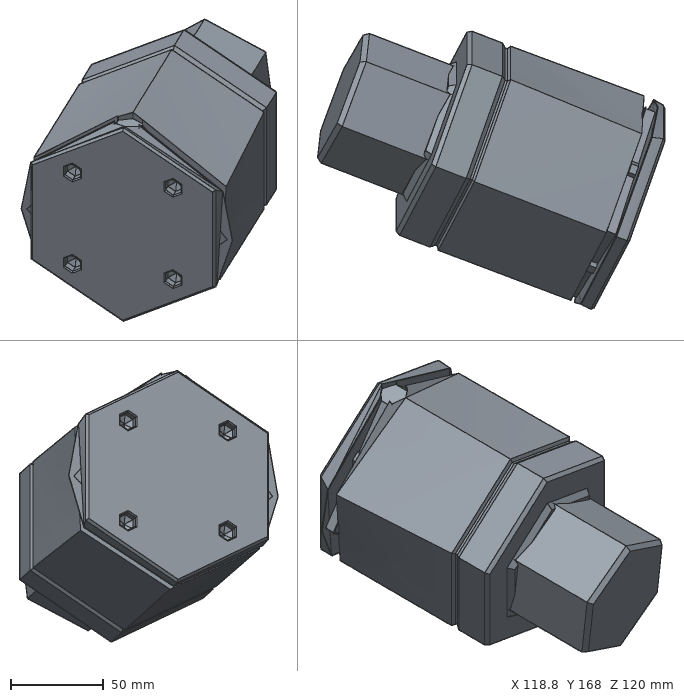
import cadquery as cq
import math

SIDES = 6
TOP = 90.0
BOTTOM = 270.0

rim_spans = SIDES // 2
groove_spans = 2

housing_radius = 60.0
foot_chamfer = 1.5
foot_end = 8.0
body_start = 13.5
edge_lip = 0.5
body_end = 90.1
ring_floor_start = 91.3
ring_floor_end = 92.6
flange_start = 94.9
flange_shoulder = 112.5
flange_end = 115.0
collar_end = 118.4

ring_groove_radius = 58.0
flange_end_radius = 58.5
collar_base_radius = 41.0
collar_end_radius = 38.0

groove_floor_radius = 56.5
foot_lip_radius = 59.5
body_lip_radius = 57.2

port_radius = 8.0
port_y = 11.0
port_floor_z = 56.0

hole_offset = 28.3
hole_radius = 5.0
hole_mouth_radius = 5.8
hole_mouth_depth = 0.8
hole_depth = 5.0
hole_cone_depth = 2.0
stub_end = 12.0

rod_radius = 37.5
rod_turn = 7.0
rod_end = 168.0
rod_chamfer_length = 3.0
rod_end_radius = 35.4


def corner(radius, angle):
    """Point (x, z) on a circle around the axis."""
    return radius * math.cos(math.radians(angle)), radius * math.sin(math.radians(angle))


def hexagon_points(radius, turn=0.0):
    return [corner(radius, TOP + turn + 360.0 * i / SIDES) for i in range(SIDES)]


def notched_points(radius, spans):
    """Corners of a polygon with a flat top as wide as the port and equal spans down each flank."""
    port_half_width = port_radius * math.cos(math.radians(180.0 / SIDES))
    first = TOP + math.degrees(math.asin(port_half_width / radius))
    step = (BOTTOM - first) / spans
    left = [corner(radius, first + i * step) for i in range(spans + 1)]
    right = [(-x, z) for x, z in reversed(left[:-1])]
    return left + right


def at_y(points, y):
    return [cq.Vector(x, y, z) for x, z in points]


def outline(points, y):
    return cq.Wire.makePolygon(at_y(points, y), close=True)


def prism(points, start, end):
    return cq.Solid.extrudeLinear(outline(points, start), [], cq.Vector(0, end - start, 0))


def hexagon_stack(sections, turn=0.0, center=(0.0, 0.0)):
    """Solid through hexagons given as (y, radius)."""
    wires = [outline(hexagon_points(radius, turn), y) for y, radius in sections]
    return cq.Solid.makeLoft(wires, True).translate(cq.Vector(center[0], 0, center[1]))


def planar_face(corners):
    return cq.Face.makeFromWires(cq.Wire.makePolygon(corners, close=True))


def split_ridge_taper(hexagon_y, notched_y, split_y):
    """Full-radius length from a hexagon to a notched polygon; its top ridge splits in two at split_y."""
    hexagon = at_y(hexagon_points(housing_radius), hexagon_y)
    notched = at_y(notched_points(housing_radius, rim_spans), notched_y)
    split = cq.Vector(0, split_y, housing_radius)
    faces = [
        planar_face(hexagon),
        planar_face(notched),
        planar_face([split, notched[0], notched[-1]]),
        planar_face([split, notched[0], notched[1]]),
        planar_face([split, notched[-1], notched[-2]]),
    ]
    for i in range(SIDES):
        start = split if i == 0 else notched[i]
        end = split if i == SIDES - 1 else notched[i + 1]
        hexagon_edge = cq.Edge.makeLine(hexagon[i], hexagon[(i + 1) % SIDES])
        faces.append(cq.Face.makeRuledSurface(hexagon_edge, cq.Edge.makeLine(start, end)))
    return cq.Solid.makeSolid(cq.Shell.makeShell(faces)).fix()


def foot_lip_points():
    """Notched outline of the foot with one more corner pointing out on each side."""
    outer = notched_points(housing_radius, rim_spans)
    tips = notched_points(foot_lip_radius, groove_spans)
    left_tip, right_tip = tips[1], tips[-2]
    return outer[:2] + [left_tip] + outer[2:-2] + [right_tip] + outer[-2:]


def make_foot():
    base = hexagon_stack([(0.0, housing_radius - foot_chamfer), (foot_chamfer, housing_radius)])
    rim = split_ridge_taper(foot_chamfer, foot_end, port_y - port_radius)
    lip = prism(foot_lip_points(), foot_end - edge_lip, foot_end)
    return base.fuse(rim, lip)


def make_groove_core():
    core = prism(notched_points(groove_floor_radius, groove_spans), foot_end, body_start)
    lip = prism(notched_points(body_lip_radius, groove_spans), body_start, body_start + edge_lip)
    return core.fuse(lip)


def make_head():
    """Ring groove, flange and collar above the body."""
    ring = hexagon_stack([
        (body_end, housing_radius),
        (ring_floor_start, ring_groove_radius),
        (ring_floor_end, ring_groove_radius),
        (flange_start, housing_radius),
        (flange_shoulder, housing_radius),
        (flange_end, flange_end_radius),
    ])
    collar = hexagon_stack([(flange_end, collar_base_radius), (collar_end, collar_end_radius)])
    return ring.fuse(collar)


def hole_centers():
    return [(x, z) for x in (-hole_offset, hole_offset) for z in (-hole_offset, hole_offset)]


def make_stub(center):
    return hexagon_stack([(foot_end, hole_radius), (stub_end, hole_radius)], center=center)


def make_hole(center):
    """Blind hexagonal hole with a flared mouth and a pointed bottom."""
    shaft = hexagon_stack([
        (0.0, hole_mouth_radius),
        (hole_mouth_depth, hole_radius),
        (hole_depth, hole_radius),
    ], center=center)
    tip = cq.Vector(center[0], hole_depth + hole_cone_depth, center[1])
    rim = [p + cq.Vector(center[0], 0, center[1]) for p in at_y(hexagon_points(hole_radius), hole_depth)]
    faces = [planar_face(rim)]
    for i in range(SIDES):
        faces.append(planar_face([rim[i], rim[(i + 1) % SIDES], tip]))
    point = cq.Solid.makeSolid(cq.Shell.makeShell(faces)).fix()
    return shaft.fuse(point)


def make_port_cut():
    """Hexagonal recess sunk from above down to the port floor."""
    return (
        cq.Workplane("XY", origin=(0, port_y, port_floor_z))
        .polygon(SIDES, 2 * port_radius)
        .extrude(housing_radius)
        .rotate((0, port_y, 0), (0, port_y, 1), TOP)
        .val()
    )


def make_rod():
    return hexagon_stack([
        (flange_end, rod_radius),
        (rod_end - rod_chamfer_length, rod_radius),
        (rod_end, rod_end_radius),
    ], turn=rod_turn)


def make_housing(rod):
    body = split_ridge_taper(body_end, body_start, port_y + port_radius)
    stubs = [make_stub(center) for center in hole_centers()]
    holes = [make_hole(center) for center in hole_centers()]
    solid = body.fuse(make_foot(), make_groove_core(), make_head(), *stubs)
    return cq.Workplane(solid.cut(make_port_cut(), rod, *holes))


rod = cq.Workplane(make_rod())
housing = make_housing(rod.val())

result = cq.Compound.makeCompound([*housing.solids().vals(), rod.val()])